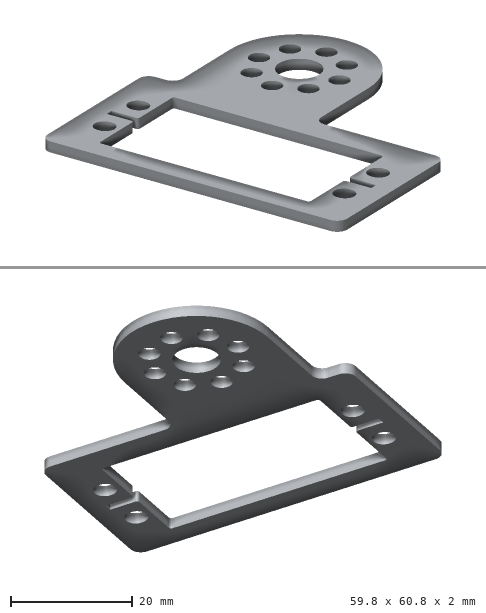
import cadquery as cq

thickness = 2.0
plate_width = 59.8
plate_height = 31.0
total_height = 60.75
corner_radius = 2.0
tab_radius = 13.8
tab_center_x = 19.85
tab_center_y = total_height - tab_radius

hub_diameter = 8.0
ring_hole_diameter = 3.7
ring_hole_count = 8
ring_radius = 8.0

window_width = 42.0
window_height = 22.0
window_bottom = 4.0
window_corner_radius = 0.5
slit_span = 52.75
slit_height = 1.4

mount_length = 4.0
mount_height = 3.7
mount_spacing_x = 47.8
mount_spacing_y = 9.95

window_center = (plate_width / 2, window_bottom + window_height / 2)


def make_body():
    """Rectangular plate blended into the round-ended tab."""
    plate = (
        cq.Workplane("XY")
        .rect(plate_width, plate_height)
        .extrude(thickness)
        .edges("|Z")
        .fillet(corner_radius)
        .translate((plate_width / 2, plate_height / 2, 0))
    )
    tab_base_y = plate_height / 2
    tab = (
        cq.Workplane("XY")
        .moveTo(tab_center_x - tab_radius, tab_base_y)
        .lineTo(tab_center_x + tab_radius, tab_base_y)
        .lineTo(tab_center_x + tab_radius, tab_center_y)
        .threePointArc((tab_center_x, total_height), (tab_center_x - tab_radius, tab_center_y))
        .close()
        .extrude(thickness)
    )
    inner_corners = cq.selectors.BoxSelector(
        (tab_center_x - tab_radius - 0.6, plate_height - 0.6, -0.6),
        (tab_center_x + tab_radius + 0.6, plate_height + 0.6, thickness + 0.6),
    )
    return plate.union(tab).edges("|Z").edges(inner_corners).fillet(corner_radius)


def make_tab_holes():
    """Central hub hole surrounded by a ring of smaller holes."""
    center = cq.Workplane("XY").center(tab_center_x, tab_center_y)
    hub = center.circle(hub_diameter / 2).extrude(thickness)
    ring = (
        center.polarArray(ring_radius, 0, 360, ring_hole_count)
        .circle(ring_hole_diameter / 2)
        .extrude(thickness)
    )
    return hub.union(ring)


def make_window():
    """Window and slit as one opening; only the slit ends stay sharp."""
    center = cq.Workplane("XY").center(*window_center)
    window = center.rect(window_width, window_height).extrude(thickness)
    slit = center.rect(slit_span, slit_height).extrude(thickness)
    rounded_corners = cq.selectors.BoxSelector(
        (window_center[0] - window_width / 2 - 0.6, 0, -0.6),
        (window_center[0] + window_width / 2 + 0.6, plate_height, thickness + 0.6),
    )
    return window.union(slit).edges("|Z").edges(rounded_corners).fillet(window_corner_radius)


def make_mount_holes():
    """Four oblong holes placed symmetrically about the window."""
    return (
        cq.Workplane("XY")
        .center(*window_center)
        .rarray(mount_spacing_x, mount_spacing_y, 2, 2)
        .slot2D(mount_length, mount_height)
        .extrude(thickness)
    )


result = make_body().cut(make_tab_holes()).cut(make_window()).cut(make_mount_holes())